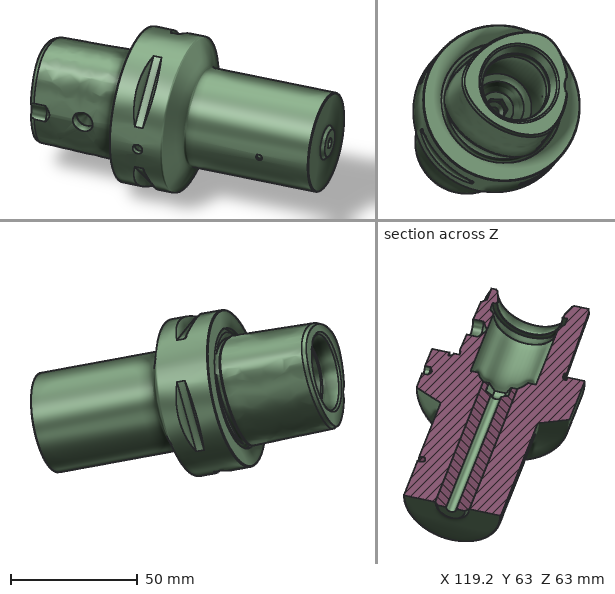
import cadquery as cq
import math

FACE_X = 38.0
TAPER_END_X = 35.8
MEAN_RADIUS = 44.2 / 2
ECCENTRICITY = 2.7 / 2
TAPER_SLOPE = 1 / 40
LEAD_LENGTH = 1.7
LEAD_DEPTH = 0.7
POLYGON_POINTS = 48

NECK_CHAMFER = 0.7
NECK_RELIEF = 0.5
COLLAR_RADIUS = 22.5
GROOVE_RADIUS = 1.7

FLANGE_RADIUS = 63.0 / 2
FLANGE_CORNER_X = 60.1
FLANGE_CHAMFER = 0.4
CONE_END_X = 65.5
FRONT_RADIUS = 20.0
FRONT_END_X = 117.8
FRONT_CHAMFER = 0.4
CONE_BLEND = 0.8

GRIPPER_X = 50.0
GRIPPER_FLOOR_DISTANCE = 27.9
GRIPPER_FLOOR_WIDTH = 3.3
GRIPPER_FLANK_ANGLE = 30
GRIPPER_OVERCUT = 1.2
GRIPPER_ANGLES = (45, 135, 225, 315)

DRILL_POINT_ANGLE = 118
SHANK_HOLE_X = 22.5
SHANK_HOLE_DIAMETER = 8.5
SHANK_HOLE_FLOOR_RADIUS = 16.0
CHIP_HOLE_DIAMETER = 4.0
CHIP_HOLE_FLOOR_RADIUS = 29.2

NOTCH_RADIUS = 5.0
NOTCH_FLOOR_RADIUS = 18.1
NOTCH_LENGTH = 6.4

MOUTH_RADIUS = 16.1
MOUTH_CHAMFER = 0.8
LIP_RADIUS = 13.6
LIP_START_X = 5.8
LIP_CYLINDER_END_X = 7.0
LIP_END_X = 7.6
UNDERCUT_RADIUS = 15.3
UNDERCUT_END_X = 10.4
SHOULDER_RADIUS = 14.7
SHOULDER_X = 11.7
BORE_RADIUS = 13.4
BORE_START_X = 13.0
BORE_FLOOR_X = 45.3
FUNNEL_RADIUS = 10.3
FUNNEL_MIDDLE_RADIUS = 8.8
FUNNEL_STEEP_LENGTH = 2.4

PLUG_RADIUS = 6.9
PLUG_TIP_RADIUS = 5.6
PLUG_END_X = 119.2
HEX_ACROSS_FLATS = 8.0
HEX_DEPTH = 4.8
COOLANT_DIAMETER = 4.0

BALL_X = 96.9
BALL_RADIUS = 2.5 / 2
BALL_RECESS = 0.2

FUNNEL_END_X = BORE_FLOOR_X + FUNNEL_STEEP_LENGTH + FUNNEL_MIDDLE_RADIUS - PLUG_RADIUS
BALL_CENTRE_Y = -(FRONT_RADIUS - BALL_RECESS - BALL_RADIUS)


def spin(profile):
    """Revolve a closed (x, radius) profile about the X axis."""
    return profile.close().revolve(360, (0, 0, 0), (1, 0, 0))


def rod(start_x, end_x, radius):
    return cq.Workplane("YZ", origin=(start_x, 0, 0)).circle(radius).extrude(end_x - start_x)


def drill_cone_length(radius):
    return radius / math.tan(math.radians(DRILL_POINT_ANGLE / 2))


def polygon_wire(x, mean_radius):
    """Three-lobed section with one lobe towards +Y; a change of mean radius is a parallel offset."""
    points = []
    for i in range(POLYGON_POINTS):
        angle = 2 * math.pi * i / POLYGON_POINTS
        reach = mean_radius + ECCENTRICITY * math.cos(3 * angle)
        slide = -3 * ECCENTRICITY * math.sin(3 * angle)
        y = reach * math.cos(angle) - slide * math.sin(angle)
        z = reach * math.sin(angle) + slide * math.cos(angle)
        points.append(cq.Vector(x, y, z))
    return cq.Wire.assembleEdges([cq.Edge.makeSpline(points, periodic=True)])


def polygon_frustum(start_x, start_radius, end_x, end_radius):
    wires = [polygon_wire(start_x, start_radius), polygon_wire(end_x, end_radius)]
    return cq.Workplane(cq.Solid.makeLoft(wires, True))


def taper_shank():
    neck_x = TAPER_END_X + NECK_CHAMFER
    neck_radius = MEAN_RADIUS - NECK_RELIEF
    lead_radius = MEAN_RADIUS - TAPER_SLOPE * (TAPER_END_X - LEAD_LENGTH)
    lead = polygon_frustum(0, lead_radius - LEAD_DEPTH, LEAD_LENGTH, lead_radius)
    taper = polygon_frustum(LEAD_LENGTH, lead_radius, TAPER_END_X, MEAN_RADIUS)
    step = polygon_frustum(TAPER_END_X, MEAN_RADIUS, neck_x, neck_radius)
    neck = polygon_frustum(neck_x, neck_radius, FACE_X, neck_radius)
    neck = neck.intersect(rod(neck_x, FACE_X, COLLAR_RADIUS))
    return lead.union(taper).union(step).union(neck)


def flange_and_front():
    turned = spin(
        cq.Workplane("XY")
        .moveTo(FACE_X, 0)
        .lineTo(FACE_X, FLANGE_RADIUS - FLANGE_CHAMFER)
        .lineTo(FACE_X + FLANGE_CHAMFER, FLANGE_RADIUS)
        .lineTo(FLANGE_CORNER_X, FLANGE_RADIUS)
        .lineTo(CONE_END_X, FRONT_RADIUS)
        .lineTo(FRONT_END_X - FRONT_CHAMFER, FRONT_RADIUS)
        .lineTo(FRONT_END_X, FRONT_RADIUS - FRONT_CHAMFER)
        .lineTo(FRONT_END_X, 0)
    )
    cone_edges = cq.selectors.BoxSelector(
        (FLANGE_CORNER_X - CONE_BLEND, -FLANGE_RADIUS, -FLANGE_RADIUS),
        (CONE_END_X + CONE_BLEND, FLANGE_RADIUS, FLANGE_RADIUS),
    )
    return turned.edges(cone_edges).edges("%CIRCLE").fillet(CONE_BLEND)


def face_groove():
    outer_radius = COLLAR_RADIUS + GROOVE_RADIUS
    diagonal = GROOVE_RADIUS * math.sqrt(0.5)
    return spin(
        cq.Workplane("XY")
        .moveTo(FACE_X, COLLAR_RADIUS)
        .threePointArc(
            (FACE_X + diagonal, outer_radius - diagonal),
            (FACE_X + GROOVE_RADIUS, outer_radius),
        )
        .lineTo(FACE_X, outer_radius)
    )


def gripper_slot(angle):
    """Trapezoidal slot tangential to the rim, at an angle about the X axis."""
    height = FLANGE_RADIUS - GRIPPER_FLOOR_DISTANCE + GRIPPER_OVERCUT
    floor_half = GRIPPER_FLOOR_WIDTH / 2
    top_half = floor_half + height * math.tan(math.radians(GRIPPER_FLANK_ANGLE))
    slot = (
        cq.Workplane("XZ")
        .polyline([
            (GRIPPER_X - floor_half, GRIPPER_FLOOR_DISTANCE),
            (GRIPPER_X + floor_half, GRIPPER_FLOOR_DISTANCE),
            (GRIPPER_X + top_half, GRIPPER_FLOOR_DISTANCE + height),
            (GRIPPER_X - top_half, GRIPPER_FLOOR_DISTANCE + height),
        ])
        .close()
        .extrude(FLANGE_RADIUS, both=True)
    )
    return slot.rotate((0, 0, 0), (1, 0, 0), angle)


def blind_hole(x, diameter, floor_radius):
    """Drilling from -Y towards the axis with a drill-point floor."""
    radius = diameter / 2
    return (
        cq.Workplane("XY")
        .moveTo(x, -FLANGE_RADIUS)
        .lineTo(x + radius, -FLANGE_RADIUS)
        .lineTo(x + radius, -floor_radius)
        .lineTo(x, -floor_radius + drill_cone_length(radius))
        .close()
        .revolve(360, (x, 0, 0), (x, 1, 0))
    )


def orientation_notch():
    """Round-bottomed notch along X with a 45 degree conical end."""
    centre_y = -(NOTCH_FLOOR_RADIUS + NOTCH_RADIUS)
    profile = (
        cq.Workplane("XY")
        .moveTo(0, 0)
        .lineTo(0, NOTCH_RADIUS)
        .lineTo(NOTCH_LENGTH, NOTCH_RADIUS)
        .lineTo(NOTCH_LENGTH + NOTCH_RADIUS, 0)
    )
    return spin(profile).translate((0, centre_y, 0))


def stepped_bore():
    """Bore of the taper shank, its funnel and the seat of the plug screw."""
    return spin(
        cq.Workplane("XY")
        .moveTo(0, 0)
        .lineTo(0, MOUTH_RADIUS)
        .lineTo(MOUTH_CHAMFER, MOUTH_RADIUS - MOUTH_CHAMFER)
        .lineTo(LIP_START_X, LIP_RADIUS)
        .lineTo(LIP_CYLINDER_END_X, LIP_RADIUS)
        .lineTo(LIP_END_X, BORE_RADIUS)
        .lineTo(LIP_END_X, UNDERCUT_RADIUS)
        .lineTo(UNDERCUT_END_X, UNDERCUT_RADIUS)
        .tangentArcPoint((SHOULDER_X, SHOULDER_RADIUS), relative=False)
        .lineTo(BORE_START_X, BORE_RADIUS)
        .lineTo(BORE_FLOOR_X, BORE_RADIUS)
        .lineTo(BORE_FLOOR_X, FUNNEL_RADIUS)
        .lineTo(BORE_FLOOR_X + FUNNEL_STEEP_LENGTH, FUNNEL_MIDDLE_RADIUS)
        .lineTo(FUNNEL_END_X, PLUG_RADIUS)
        .lineTo(FRONT_END_X, PLUG_RADIUS)
        .lineTo(FRONT_END_X, 0)
    )


def ball():
    return cq.Workplane("XY").sphere(BALL_RADIUS).translate((BALL_X, BALL_CENTRE_Y, 0))


def ball_seat():
    """Round-bottomed hole that fits the ball."""
    depth = FLANGE_RADIUS + BALL_CENTRE_Y
    mouth = (
        cq.Workplane("XZ", origin=(BALL_X, BALL_CENTRE_Y, 0))
        .circle(BALL_RADIUS)
        .extrude(depth)
    )
    return mouth.union(ball())


def make_housing():
    body = taper_shank().union(flange_and_front())
    body = body.cut(face_groove())
    for angle in GRIPPER_ANGLES:
        body = body.cut(gripper_slot(angle))
    body = body.cut(blind_hole(SHANK_HOLE_X, SHANK_HOLE_DIAMETER, SHANK_HOLE_FLOOR_RADIUS))
    body = body.cut(blind_hole(GRIPPER_X, CHIP_HOLE_DIAMETER, CHIP_HOLE_FLOOR_RADIUS))
    body = body.cut(orientation_notch())
    body = body.cut(stepped_bore())
    return body.cut(ball_seat())


def make_plug_screw():
    screw = spin(
        cq.Workplane("XY")
        .moveTo(FUNNEL_END_X, 0)
        .lineTo(FUNNEL_END_X, PLUG_RADIUS)
        .lineTo(FRONT_END_X, PLUG_RADIUS)
        .lineTo(PLUG_END_X, PLUG_TIP_RADIUS)
        .lineTo(PLUG_END_X, 0)
    )
    hex_corner_diameter = HEX_ACROSS_FLATS / math.cos(math.radians(30))
    hex_floor_x = FUNNEL_END_X + HEX_DEPTH
    socket = (
        cq.Workplane("YZ", origin=(FUNNEL_END_X, 0, 0))
        .polygon(6, hex_corner_diameter)
        .extrude(HEX_DEPTH)
    )
    cone_radius = HEX_ACROSS_FLATS / 2
    socket_cone = spin(
        cq.Workplane("XY")
        .moveTo(hex_floor_x, 0)
        .lineTo(hex_floor_x, cone_radius)
        .lineTo(hex_floor_x + drill_cone_length(cone_radius), 0)
    )
    coolant_hole = rod(FUNNEL_END_X, PLUG_END_X, COOLANT_DIAMETER / 2)
    return screw.cut(socket).cut(socket_cone).cut(coolant_hole)


housing = make_housing()
plug_screw = make_plug_screw()
sealing_ball = ball()

result = cq.Compound.makeCompound([housing.val(), plug_screw.val(), sealing_ball.val()])